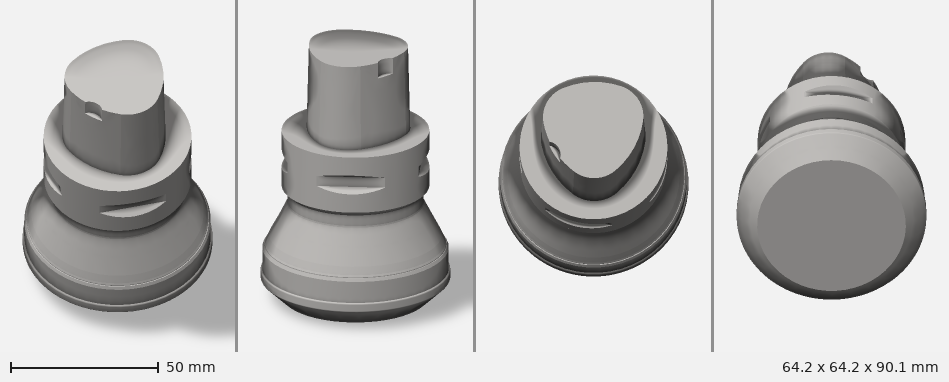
import cadquery as cq
import math

total_height = 90.05
shank_length = 30.0
collar_base_z = 40.0
split_z = 18.5
collar_top_z = total_height - shank_length

collar_radius = 50.0 / 2
neck_radius = 46.0 / 2
neck_top_z = 38.2
neck_bevel = 0.5
cone_top_z = 33.8
neck_bottom_z = 34.3
cone_top_radius = 23.1
cone_break_z = 22.0
cone_break_radius = 29.2
cone_base_z = 19.4
cone_base_radius = 30.35
cone_foot_z = 18.7
cone_foot_radius = 30.7

lobe_reach = 18.6
flank_reach = 16.3
lobe_offset = 6.8
shank_inset = shank_length / 40

keyway_radius = 4.5
keyway_center_y = -18.4
keyway_depth = 5.6

slot_count = 4
slot_first_angle = 45.0
slot_z = collar_top_z - 10.0
slot_floor_distance = 22.15
slot_floor_height = 3.6
slot_side_angle = 30.0
slot_length = 2 * collar_radius

head_radius = 31.5
rim_radius = 64.2 / 2
head_base_radius = 25.1
head_cone_top_z = 6.7
rim_top_z = 9.7
rim_round = 0.5
head_shoulder_z = 17.4
head_top_radius = 31.0


def polar(radius, angle):
    return radius * math.cos(angle), radius * math.sin(angle)


def shank_outline(z, inset):
    """Closed outline of three lobe arcs and three tangent flank arcs, moved inward by inset."""
    lobe_radius = lobe_reach - lobe_offset
    reach_gap = flank_reach - lobe_radius
    flank_offset = (lobe_offset**2 - reach_gap**2) / (2 * reach_gap - lobe_offset)
    flank_radius = flank_reach + flank_offset
    joint_x = lobe_offset * math.cos(math.pi / 6)
    joint_y = lobe_offset / 2 + flank_offset
    joint_scale = (flank_radius - inset) / math.hypot(joint_x, joint_y)
    joint_x = joint_x * joint_scale
    joint_y = joint_y * joint_scale - flank_offset
    joint_radius = math.hypot(joint_x, joint_y)
    half_flank_angle = math.atan2(joint_x, joint_y)

    outline = cq.Workplane("XY", origin=(0, 0, z))
    outline = outline.moveTo(*polar(joint_radius, -math.pi / 2 - half_flank_angle))
    for side in range(3):
        flank_angle = -math.pi / 2 + side * 2 * math.pi / 3
        lobe_angle = flank_angle + math.pi / 3
        next_flank_angle = flank_angle + 2 * math.pi / 3
        outline = outline.threePointArc(
            polar(flank_reach - inset, flank_angle),
            polar(joint_radius, flank_angle + half_flank_angle),
        )
        outline = outline.threePointArc(
            polar(lobe_reach - inset, lobe_angle),
            polar(joint_radius, next_flank_angle - half_flank_angle),
        )
    return outline.close().val()


def make_shank():
    base = shank_outline(collar_top_z, 0)
    end = shank_outline(total_height, shank_inset)
    shank = cq.Workplane(cq.Solid.makeLoft([base, end], True))
    keyway = (
        cq.Workplane("XY", origin=(0, keyway_center_y, total_height - keyway_depth))
        .circle(keyway_radius)
        .extrude(keyway_depth)
    )
    return shank.cut(keyway)


def make_gripper_slot(angle):
    """Trapezoidal prism whose sides open outward from a flat floor."""
    depth = collar_radius - slot_floor_distance
    floor_half = slot_floor_height / 2
    mouth_half = floor_half + depth * math.tan(math.radians(slot_side_angle))
    return (
        cq.Workplane("XZ")
        .polyline([
            (slot_floor_distance, slot_z - floor_half),
            (collar_radius, slot_z - mouth_half),
            (collar_radius, slot_z + mouth_half),
            (slot_floor_distance, slot_z + floor_half),
        ])
        .close()
        .extrude(slot_length / 2, both=True)
        .rotate((0, 0, 0), (0, 0, 1), angle)
    )


def make_holder():
    holder = (
        cq.Workplane("XZ")
        .moveTo(0, split_z)
        .lineTo(cone_foot_radius, split_z)
        .lineTo(cone_foot_radius, cone_foot_z)
        .lineTo(cone_base_radius, cone_base_z)
        .lineTo(cone_break_radius, cone_break_z)
        .lineTo(cone_top_radius, cone_top_z)
        .lineTo(neck_radius, neck_bottom_z)
        .lineTo(neck_radius, neck_top_z)
        .lineTo(neck_radius + neck_bevel, neck_top_z + neck_bevel)
        .lineTo(collar_radius, collar_base_z)
        .lineTo(collar_radius, collar_top_z)
        .lineTo(0, collar_top_z)
        .close()
        .revolve(360, (0, 0, 0), (0, 1, 0))
    )
    for index in range(slot_count):
        holder = holder.cut(make_gripper_slot(slot_first_angle + index * 360 / slot_count))
    return holder.union(make_shank())


def make_cutter_head():
    return (
        cq.Workplane("XZ")
        .lineTo(head_base_radius, 0)
        .lineTo(rim_radius, head_cone_top_z)
        .lineTo(rim_radius, rim_top_z)
        .lineTo(head_radius, rim_top_z)
        .lineTo(head_radius, head_shoulder_z)
        .lineTo(head_top_radius, split_z)
        .lineTo(0, split_z)
        .close()
        .revolve(360, (0, 0, 0), (0, 1, 0))
        .edges(cq.selectors.RadiusNthSelector(-1))
        .fillet(rim_round)
    )


holder = make_holder()
cutter_head = make_cutter_head()
result = cq.Compound.makeCompound([holder.val(), cutter_head.val()])